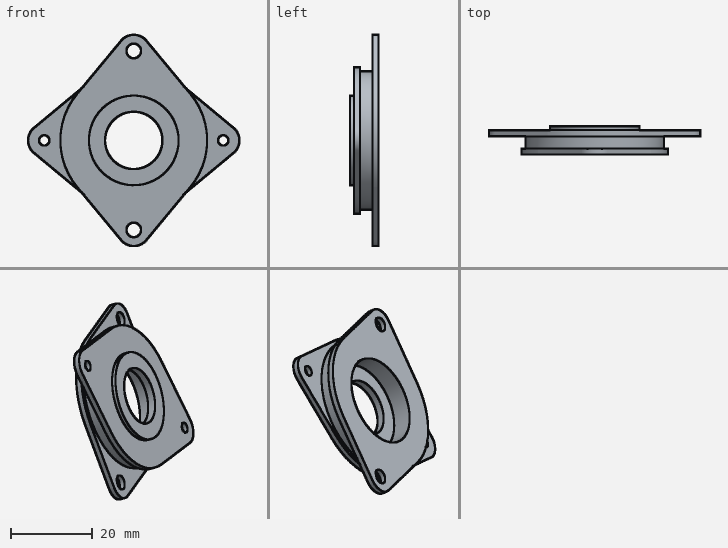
import cadquery as cq
import math

overall_size = 51.85
end_radius = 4.0
disc_radius = 18.0
flange_thickness = 1.5
drum_radius = 17.0
drum_length = 3.0
boss_radius = 11.0
boss_length = 1.0
pocket_radius = 11.0
pocket_depth = 5.0
bore_radius = 7.0
front_hole_diameter = 3.5
back_hole_diameter = 2.5

hole_offset = overall_size / 2 - end_radius
front_flange_back = flange_thickness
drum_back = front_flange_back + drum_length
back_flange_back = drum_back + flange_thickness
total_depth = back_flange_back + boss_length


def cylinder(radius, start, end):
    """Solid cylinder on the part axis between two Y positions."""
    plane = cq.Workplane("XZ", origin=(0, start, 0))
    return plane.circle(radius).extrude(start - end)


def flange(start, hole_diameter):
    """Round plate with two tangent-sided ears along Z, each with a hole."""
    angle = math.acos((disc_radius - end_radius) / hole_offset)
    side, rise = math.sin(angle), math.cos(angle)
    disc_x, disc_z = disc_radius * side, disc_radius * rise
    ear_x, ear_z = end_radius * side, hole_offset + end_radius * rise
    tip_z = overall_size / 2
    return (
        cq.Workplane("XZ", origin=(0, start, 0))
        .moveTo(disc_x, disc_z)
        .lineTo(ear_x, ear_z)
        .threePointArc((0, tip_z), (-ear_x, ear_z))
        .lineTo(-disc_x, disc_z)
        .threePointArc((-disc_radius, 0), (-disc_x, -disc_z))
        .lineTo(-ear_x, -ear_z)
        .threePointArc((0, -tip_z), (ear_x, -ear_z))
        .lineTo(disc_x, -disc_z)
        .threePointArc((disc_radius, 0), (disc_x, disc_z))
        .close()
        .pushPoints([(0, hole_offset), (0, -hole_offset)])
        .circle(hole_diameter / 2)
        .extrude(-flange_thickness)
    )


front_flange = flange(0, front_hole_diameter)
back_flange = flange(drum_back, back_hole_diameter).rotate((0, 0, 0), (0, 1, 0), 90)
drum = cylinder(drum_radius, front_flange_back, drum_back)
boss = cylinder(boss_radius, back_flange_back, total_depth)
body = front_flange.union(drum).union(back_flange).union(boss)

pocket = cylinder(pocket_radius, 0, pocket_depth)
bore = cylinder(bore_radius, 0, total_depth)
result = body.cut(pocket).cut(bore)